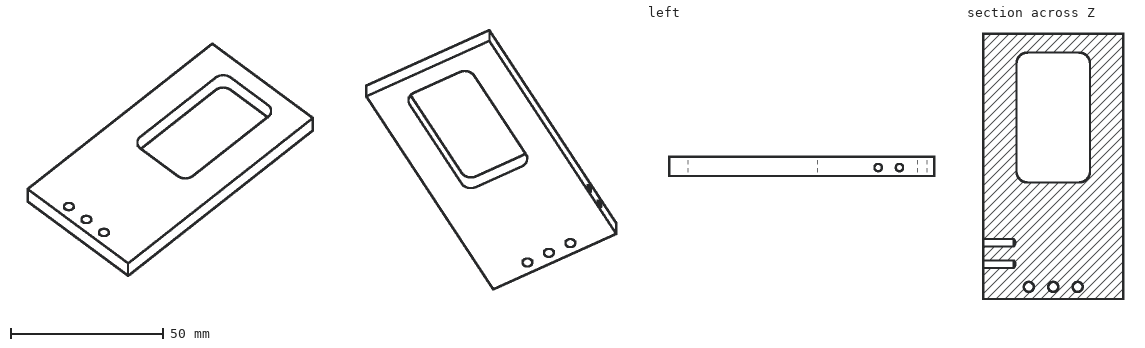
import cadquery as cq
import math

width = 46.0
length = 87.1
thickness = 6.35

window_width = 24.0
window_length = 42.5
window_corner_radius = 3.5
window_back_margin = 6.3

through_hole_diameter = 3.2
through_hole_pitch = 8.0
through_hole_count = 3
through_hole_margin = 4.0

side_hole_diameter = 2.4
side_hole_depth = 10.0
side_hole_tip_angle = 118
side_hole_pitch = 7.0
side_hole_count = 2
side_hole_margin = 11.5
side_hole_height = 2.8


def make_plate():
    return cq.Workplane("XY").box(width, length, thickness)


def make_window():
    center_y = length / 2 - window_back_margin - window_length / 2
    return (
        cq.Workplane("XY")
        .center(0, center_y)
        .box(window_width, window_length, thickness)
        .edges("|Z")
        .fillet(window_corner_radius)
    )


def drill_through_holes(plate):
    return (
        plate.faces(">Z")
        .workplane(origin=(0, through_hole_margin - length / 2, 0))
        .rarray(through_hole_pitch, 0.9, through_hole_count, 1)
        .hole(through_hole_diameter)
    )


def make_side_hole(y):
    """Drilled hole running in from the -X side, ending in a conical tip."""
    radius = side_hole_diameter / 2
    tip_length = radius / math.tan(math.radians(side_hole_tip_angle / 2))
    profile = [
        (0, 0),
        (side_hole_depth + tip_length, 0),
        (side_hole_depth, radius),
        (0, radius),
    ]
    return (
        cq.Workplane("XY")
        .polyline(profile)
        .close()
        .revolve(360, (0, 0), (1, 0))
        .translate((-width / 2, y, side_hole_height - thickness / 2))
    )


result = drill_through_holes(make_plate().cut(make_window()))
for index in range(side_hole_count):
    hole_y = side_hole_margin + index * side_hole_pitch - length / 2
    result = result.cut(make_side_hole(hole_y))